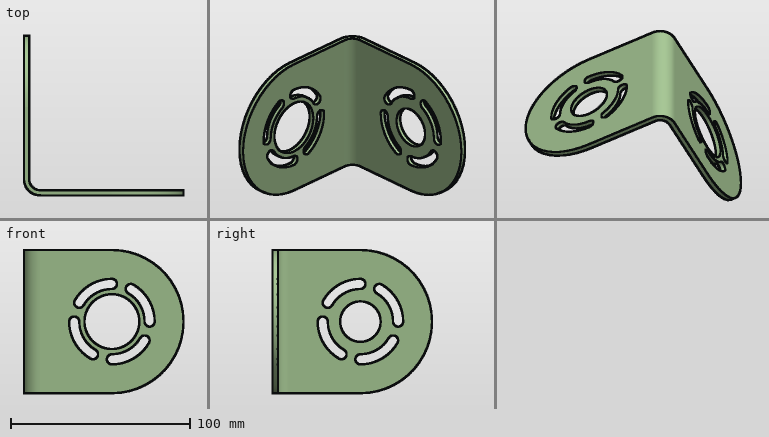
import cadquery as cq
import math

leg_length = 89.1
bracket_height = 80.0
sheet_thickness = 3.0
front_bore_diameter = 30.5
side_bore_diameter = 22.5
slot_path_radius = 21.0
slot_width = 5.5
slot_sweep = 60.0
slot_count = 4

tip_radius = bracket_height / 2
tip_center = leg_length - tip_radius
bend_outer_radius = leg_length - bracket_height
bend_inner_radius = bend_outer_radius - sheet_thickness
slot_spacing = 360 / slot_count


def polar(radius, degrees):
    """Point on a circle around the local origin."""
    angle = math.radians(degrees)
    return (radius * math.cos(angle), radius * math.sin(angle))


def folded_sheet():
    """L-shaped sheet with a rounded bend, its outer corner on the Z axis, centred on Z = 0."""
    return (
        cq.Workplane("XY")
        .workplane(offset=-bracket_height / 2)
        .moveTo(leg_length, 0)
        .lineTo(bend_outer_radius, 0)
        .radiusArc((0, bend_outer_radius), bend_outer_radius)
        .lineTo(0, leg_length)
        .lineTo(sheet_thickness, leg_length)
        .lineTo(sheet_thickness, bend_outer_radius)
        .radiusArc((bend_outer_radius, sheet_thickness), -bend_inner_radius)
        .lineTo(leg_length, sheet_thickness)
        .close()
        .extrude(bracket_height)
    )


def leg_outline(plane):
    """Outline of one leg, open towards the bend and round at the tip, as a thick block."""
    return (
        cq.Workplane(plane)
        .moveTo(0, -tip_radius)
        .lineTo(tip_center, -tip_radius)
        .threePointArc((leg_length, 0), (tip_center, tip_radius))
        .lineTo(0, tip_radius)
        .close()
        .extrude(leg_length, both=True)
    )


def curved_slot(plane, start_angle):
    """Cutter for one arc-shaped slot with round ends, around the tip centre of a leg."""
    inner_radius = slot_path_radius - slot_width / 2
    outer_radius = slot_path_radius + slot_width / 2
    middle_angle = start_angle + slot_sweep / 2
    end_angle = start_angle + slot_sweep
    cap_angle = math.degrees(math.atan2(slot_width / 2, slot_path_radius))
    cap_radius = math.hypot(slot_path_radius, slot_width / 2)
    return (
        cq.Workplane(plane)
        .center(tip_center, 0)
        .moveTo(*polar(outer_radius, start_angle))
        .threePointArc(polar(outer_radius, middle_angle), polar(outer_radius, end_angle))
        .threePointArc(polar(cap_radius, end_angle + cap_angle), polar(inner_radius, end_angle))
        .threePointArc(polar(inner_radius, middle_angle), polar(inner_radius, start_angle))
        .threePointArc(polar(cap_radius, start_angle - cap_angle), polar(outer_radius, start_angle))
        .close()
        .extrude(sheet_thickness, both=True)
    )


def leg_openings(plane, bore_diameter):
    """Cutter for the central bore of a leg and the ring of slots around it."""
    openings = (
        cq.Workplane(plane)
        .center(tip_center, 0)
        .circle(bore_diameter / 2)
        .extrude(sheet_thickness, both=True)
    )
    for index in range(slot_count):
        openings = openings.union(curved_slot(plane, index * slot_spacing))
    return openings


result = (
    folded_sheet()
    .intersect(leg_outline("XZ"))
    .intersect(leg_outline("YZ"))
    .cut(leg_openings("XZ", front_bore_diameter))
    .cut(leg_openings("YZ", side_bore_diameter))
)